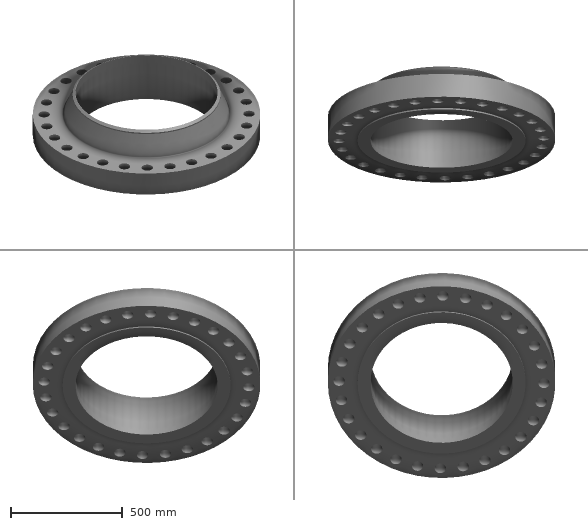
import cadquery as cq
import math

TOTAL_HEIGHT = 229.0
FLANGE_DIAMETER = 1016.0
FLANGE_THICKNESS = 110.0
RAISED_FACE_DIAMETER = 750.0
RAISED_FACE_HEIGHT = 6.4
BORE_DIAMETER = 635.0

HUB_BASE_DIAMETER = 748.0
PIPE_END_DIAMETER = 660.0
PIPE_STRAIGHT_LENGTH = 6.0
WELD_LAND_WIDTH = 1.6
WELD_BEVEL_ANGLE = 37.5
HUB_FILLET_RADIUS = 6.0

BOLT_COUNT = 28
BOLT_CIRCLE_DIAMETER = 914.0
BOLT_HOLE_DIAMETER = 51.0

flange_radius = FLANGE_DIAMETER / 2
raised_face_radius = RAISED_FACE_DIAMETER / 2
bore_radius = BORE_DIAMETER / 2
hub_base_radius = HUB_BASE_DIAMETER / 2
pipe_end_radius = PIPE_END_DIAMETER / 2
land_radius = bore_radius + WELD_LAND_WIDTH
flange_top = RAISED_FACE_HEIGHT + FLANGE_THICKNESS
bevel_height = (pipe_end_radius - land_radius) * math.tan(math.radians(WELD_BEVEL_ANGLE))
bevel_bottom = TOTAL_HEIGHT - bevel_height
taper_top = bevel_bottom - PIPE_STRAIGHT_LENGTH


def make_body():
    """Revolve the half section about Z; in the XZ plane local x is radius and local y is Z."""
    section = [
        (bore_radius, 0),
        (raised_face_radius, 0),
        (raised_face_radius, RAISED_FACE_HEIGHT),
        (flange_radius, RAISED_FACE_HEIGHT),
        (flange_radius, flange_top),
        (hub_base_radius, flange_top),
        (pipe_end_radius, taper_top),
        (pipe_end_radius, bevel_bottom),
        (land_radius, TOTAL_HEIGHT),
        (bore_radius, TOTAL_HEIGHT),
    ]
    return cq.Workplane("XZ").polyline(section).close().revolve(360, (0, 0), (0, 1))


def round_hub_root(body):
    """Fillet the circular corner where the tapered hub meets the flange."""
    hub_taper = body.faces("%CONE").faces("<Z")
    return hub_taper.edges("<Z").fillet(HUB_FILLET_RADIUS)


def make_bolt_holes():
    """Cylinders for the bolt holes, running through the full flange thickness."""
    return (
        cq.Workplane("XY")
        .polarArray(BOLT_CIRCLE_DIAMETER / 2, 0, 360, BOLT_COUNT)
        .circle(BOLT_HOLE_DIAMETER / 2)
        .extrude(TOTAL_HEIGHT)
    )


result = round_hub_root(make_body()).cut(make_bolt_holes())